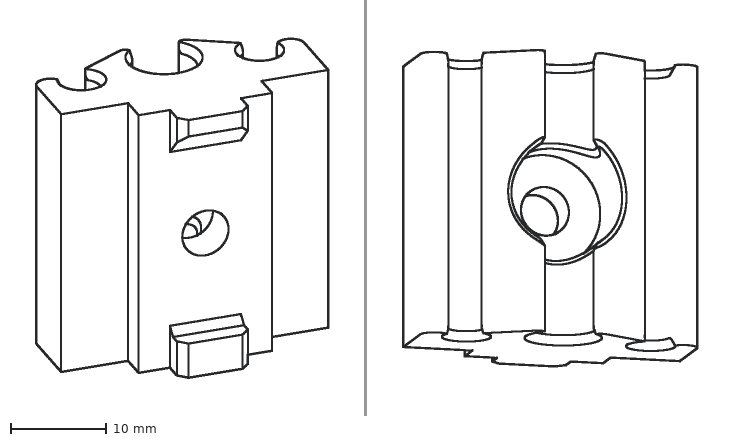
import cadquery as cq
import math

depth = 18.35
width = 30.0
height = 30.0

body_back = 12.27
rib_back = 15.4
rib_half_width = 7.5
hook_half_width = 4.0
hook_corner = 0.95

side_groove_radius = 2.0
side_groove_x = 5.2
horn_radius = 1.5
horn_y = width / 2 - horn_radius
side_groove_y = horn_y - horn_radius - side_groove_radius

main_groove_radius = 3.48
main_groove_x = 3.27
nose_radius = 0.75
tip_radius = 0.6
flank_angle = math.radians(61)

lead_in_length = 1.0
lead_in_angle = math.radians(30)
lead_in_width = lead_in_length * math.tan(lead_in_angle)

seat_diameter = 12.0
seat_floor_x = 10.8
seat_chamfer = 0.48
screw_hole_diameter = 5.2
tolerance = 0.003

bottom_hook_height = 4.0
bottom_hook_corner = 0.9
top_hook_edge = 1.92


def polar(center, radius, angle):
    return (center[0] + radius * math.cos(angle), center[1] + radius * math.sin(angle))


def direction(start, end):
    return math.atan2(end[1] - start[1], end[0] - start[0])


def half_profile():
    """Outline of the +Y half, before the lead-in cones and the hooks are cut."""
    main_center = (main_groove_x, 0)
    side_center = (side_groove_x, side_groove_y)
    horn_center = (side_groove_x, horn_y)

    nose_reach = main_groove_radius + nose_radius
    nose_center = (nose_radius, math.sqrt(nose_reach**2 - (main_groove_x - nose_radius) ** 2))
    normal = flank_angle + math.pi / 2
    flank_start = polar(nose_center, nose_radius, normal)

    tip_line_start = polar(flank_start, -tip_radius, normal)
    gap_x = side_center[0] - tip_line_start[0]
    gap_y = side_center[1] - tip_line_start[1]
    along = gap_x * math.cos(flank_angle) + gap_y * math.sin(flank_angle)
    across = gap_y * math.cos(flank_angle) - gap_x * math.sin(flank_angle)
    tip_reach = side_groove_radius + tip_radius
    tip_center = polar(tip_line_start, along - math.sqrt(tip_reach**2 - across**2), flank_angle)
    flank_end = polar(tip_center, tip_radius, normal)

    nose_angle = direction(main_center, nose_center)
    tip_angle = direction(side_center, tip_center)
    tip_to_groove = direction(tip_center, side_center)

    return (
        cq.Workplane("XY")
        .moveTo(main_groove_x + main_groove_radius, 0)
        .threePointArc(
            polar(main_center, main_groove_radius, nose_angle / 2),
            polar(main_center, main_groove_radius, nose_angle),
        )
        .threePointArc(polar(nose_center, nose_radius, math.pi), flank_start)
        .lineTo(*flank_end)
        .threePointArc(
            polar(tip_center, tip_radius, (normal + tip_to_groove) / 2),
            polar(side_center, side_groove_radius, tip_angle),
        )
        .threePointArc(
            polar(side_center, side_groove_radius, 0),
            polar(side_center, side_groove_radius, math.pi / 2),
        )
        .threePointArc(
            polar(horn_center, horn_radius, math.pi),
            polar(horn_center, horn_radius, math.pi / 2),
        )
        .lineTo(body_back, width / 2)
        .lineTo(body_back, rib_half_width)
        .lineTo(rib_back, rib_half_width)
        .lineTo(rib_back, hook_half_width)
        .lineTo(depth - hook_corner, hook_half_width)
        .lineTo(depth, hook_half_width - hook_corner)
        .lineTo(depth, 0)
        .close()
    )


def cut_screw_seat(body):
    seat_plane = cq.Workplane("YZ").center(0, height / 2)
    seat = seat_plane.circle(seat_diameter / 2).extrude(seat_floor_x)
    hole = seat_plane.circle(screw_hole_diameter / 2).extrude(depth)
    body = body.cut(seat)
    walls = [
        face
        for face in body.faces("%CYLINDER").vals()
        if abs(face.BoundingBox().xmax - seat_floor_x) < tolerance
    ]
    rim_edges = [
        edge
        for wall in walls
        for edge in wall.Edges()
        if edge.geomType() != "LINE" and edge.BoundingBox().xmax < seat_floor_x - tolerance
    ]
    body = body.newObject(rim_edges).chamfer(seat_chamfer)
    return body.cut(hole)


def lead_in(x, y, radius):
    """Cones that widen a groove towards the bottom and top faces."""
    bottom = cq.Solid.makeCone(radius + lead_in_width, radius, lead_in_length, cq.Vector(x, y, 0))
    top = bottom.mirror("XY", cq.Vector(0, 0, height / 2))
    return cq.Workplane(bottom).add(top).combine()


def hook_gap():
    """Space between the hooks: 45 degree slope above, small corner slope below."""
    hook_depth = depth - rib_back
    top_edge = height - top_hook_edge
    return (
        cq.Workplane("XZ")
        .moveTo(rib_back, bottom_hook_height + bottom_hook_corner)
        .lineTo(rib_back + bottom_hook_corner, bottom_hook_height)
        .lineTo(depth, bottom_hook_height)
        .lineTo(depth, top_edge)
        .lineTo(rib_back, top_edge - hook_depth)
        .close()
        .extrude(hook_half_width, both=True)
    )


half = half_profile().extrude(height)
body = half.union(half.mirror("XZ"), clean=True)
body = cut_screw_seat(body)
body = body.cut(lead_in(main_groove_x, 0, main_groove_radius))
for side in (-1, 1):
    body = body.cut(lead_in(side_groove_x, side * side_groove_y, side_groove_radius))
result = body.cut(hook_gap())